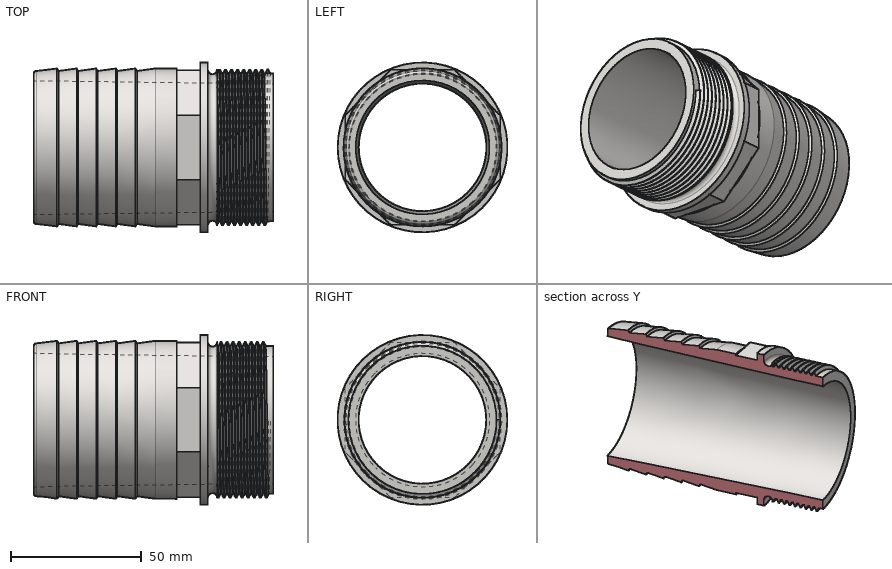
import cadquery as cq
import math


total_length = 91.6
threaded_end_length = 25.0
collar_thickness = 3.0
grip_length = 8.9
collar_end = total_length - threaded_end_length
collar_start = collar_end - collar_thickness
grip_start = collar_start - grip_length

barb_count = 6
barb_pitch = 7.5
first_barb_crest = 8.9
barb_back_length = 0.6
barb_crest_radius = 30.25
barb_root_radius = 29.3
nose_fillet = 1.0

grip_sides = 8
grip_across_flats = 59.2
collar_radius = 65.0 / 2

bore_radius_hose_end = 25.6
bore_radius_threaded_end = 24.35

thread_pitch = 25.4 / 11
thread_major_radius = 59.614 / 2
thread_minor_radius = 56.656 / 2
thread_crest_width = 0.35
thread_root_width = 1.85
thread_turns = 9
thread_end = 89.5
thread_embed = 0.3

undercut_radius = 1.75
undercut_center = collar_end + undercut_radius
undercut_end = undercut_center + undercut_radius


def cylinder_along_x(start, end, radius):
    return cq.Workplane("YZ").workplane(offset=start).circle(radius).extrude(end - start)


def make_barbs():
    """Revolved hose tail: sawtooth barbs followed by a plain barrel."""
    profile = (
        cq.Workplane("XZ")
        .lineTo(0, barb_root_radius - nose_fillet)
        .radiusArc((nose_fillet, barb_root_radius), nose_fillet)
    )
    for index in range(barb_count):
        crest = first_barb_crest + index * barb_pitch
        profile = profile.lineTo(crest, barb_crest_radius)
        if index < barb_count - 1:
            profile = profile.lineTo(crest + barb_back_length, barb_root_radius)
    profile = profile.lineTo(grip_start, barb_crest_radius).lineTo(grip_start, 0).close()
    return profile.revolve(axisStart=(0, 0, 0), axisEnd=(1, 0, 0))


def make_grip():
    """Octagonal prism with flats facing +-Y and +-Z."""
    across_corners = grip_across_flats / math.cos(math.pi / grip_sides)
    return (
        cq.Workplane("YZ")
        .workplane(offset=grip_start)
        .transformed(rotate=(0, 0, 180 / grip_sides))
        .polygon(grip_sides, across_corners)
        .extrude(grip_length)
    )


def make_thread_ridge():
    """Helical ridge ending at +Y, reaching slightly into the core so that both fuse."""
    base_radius = thread_minor_radius - thread_embed
    flank_slope = (thread_root_width - thread_crest_width) / (thread_major_radius - thread_minor_radius)
    base_half = (thread_root_width + flank_slope * thread_embed) / 2
    crest_half = thread_crest_width / 2
    length = thread_turns * thread_pitch
    helix = cq.Wire.makeHelix(thread_pitch, length, base_radius)
    ridge = (
        cq.Workplane("XZ")
        .moveTo(base_radius, -base_half)
        .lineTo(thread_major_radius, -crest_half)
        .lineTo(thread_major_radius, crest_half)
        .lineTo(base_radius, base_half)
        .close()
        .sweep(cq.Workplane(helix), isFrenet=True)
    )
    ridge = ridge.rotate((0, 0, 0), (1, 1, 1), 360 / 3)
    return ridge.translate((thread_end - length, 0, 0))


def make_threaded_end():
    """Core with a thread ridge that stops at the undercut beside the collar."""
    core = cylinder_along_x(undercut_end, total_length, thread_minor_radius)
    clearance = cylinder_along_x(collar_start, undercut_end, collar_radius)
    return core.union(make_thread_ridge().cut(clearance))


def make_undercut_neck():
    """Neck with a groove of two quarter rounds, tangent to the collar face and to each other."""
    floor_radius = thread_major_radius - undercut_radius
    return (
        cq.Workplane("XZ")
        .moveTo(collar_start, 0)
        .lineTo(collar_start, thread_major_radius)
        .lineTo(collar_end, thread_major_radius)
        .radiusArc((undercut_center, floor_radius), -undercut_radius)
        .radiusArc((undercut_end, thread_major_radius), -undercut_radius)
        .lineTo(undercut_end, 0)
        .close()
        .revolve(axisStart=(0, 0, 0), axisEnd=(1, 0, 0))
    )


def make_bore():
    return (
        cq.Workplane("YZ")
        .circle(bore_radius_hose_end)
        .workplane(offset=total_length)
        .circle(bore_radius_threaded_end)
        .loft()
    )


result = make_barbs()
result = result.union(make_grip())
result = result.union(cylinder_along_x(collar_start, collar_end, collar_radius))
result = result.union(make_undercut_neck())
result = result.union(make_threaded_end())
result = result.cut(make_bore())